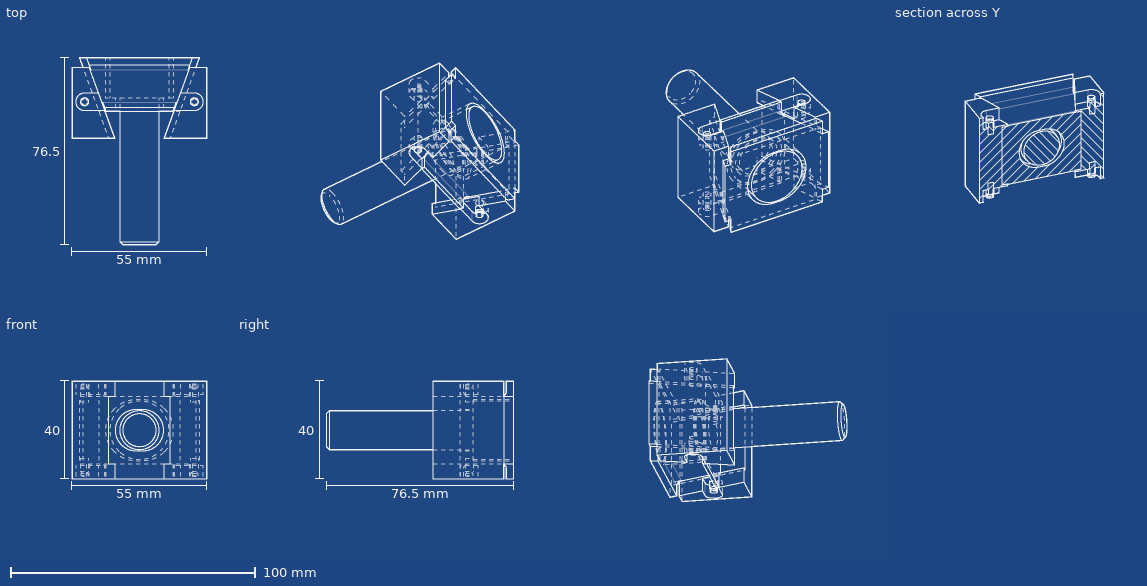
import cadquery as cq
import math

height = 40.0
overall_width = 55.0
overall_length = 76.5
taper = math.tan(math.radians(20))
SIDES = (-1, 1)

wedge_depth = 21.95
core_back_half_width = 21.65
core_gap = 0.4
tongue_height = 27.5
tongue_reach = 2.5
back_lip = 3.05
front_lip = 1.5
groove_fillet = 2.0

jaw_back_y = -4.0
jaw_depth = 29.0
pocket_radius = 3.6
pocket_depth = 5.5

pin_x = 22.4
pin_setback = 14.1
pin_y = jaw_back_y - pin_setback
pin_head_diameter = 3.0
pin_body_diameter = 3.3
pin_tip_drop = 1.1
dome_height = 0.4
head_land = 0.85
neck_height = 0.8
neck_depth = 0.4
pin_seat_depth = 3.0

shank_diameter = 16.0
shank_chamfer = 1.2
shank_length = 60.0
head_diameter = 24.0
bolt_slot_height = 17.0
bolt_slot_length = 19.65

half_height = height / 2
jaw_face_half_width = core_back_half_width + core_gap
tongue_half_width = jaw_face_half_width + tongue_reach
groove_depth = half_height - tongue_height / 2
bolt_head_height = overall_length - shank_length
slot_travel = bolt_slot_length - bolt_slot_height
head_recess_height = head_diameter + bolt_slot_height - shank_diameter


def tapered_block(back_half_width, depth, block_height):
    """Trapezoid block from Y = 0 to -depth, narrowing toward -Y and centred on Z."""
    front_half_width = back_half_width - depth * taper
    outline = [
        (-back_half_width, 0),
        (back_half_width, 0),
        (front_half_width, -depth),
        (-front_half_width, -depth),
    ]
    return (
        cq.Workplane("XY")
        .workplane(offset=-block_height / 2)
        .polyline(outline)
        .close()
        .extrude(block_height)
    )


def tongued_block(core_half_width, depth):
    """Full-height tapered core with a shorter, wider block forming the two tongues."""
    core = tapered_block(core_half_width, depth, height)
    return core.union(tapered_block(tongue_half_width, depth, tongue_height))


def bolt_slot(slot_height, depth):
    """Round-ended slot from the back face toward -Y, long enough for the bolt travel."""
    slot = cq.Workplane("XZ").slot2D(slot_height + slot_travel, slot_height)
    return slot.extrude(depth)


def make_groove(side):
    """Cross groove with rounded floor corners in the top (1) or bottom (-1) of the wedge."""
    length = wedge_depth - back_lip - front_lip
    center_y = -back_lip - length / 2
    groove = (
        cq.Workplane("XY")
        .box(overall_width, length, 2 * groove_depth)
        .edges("|X")
        .fillet(groove_fillet)
    )
    return groove.translate((0, center_y, side * half_height))


def make_wedge():
    wedge = tongued_block(core_back_half_width, wedge_depth)
    for side in SIDES:
        wedge = wedge.cut(make_groove(side))
    wedge = wedge.cut(bolt_slot(bolt_slot_height, wedge_depth))
    return wedge.cut(bolt_slot(head_recess_height, bolt_head_height))


def make_bolt():
    head = cq.Workplane("XZ").circle(head_diameter / 2).extrude(bolt_head_height)
    shank = cq.Workplane("XZ").circle(shank_diameter / 2).extrude(overall_length)
    shank = shank.faces("<Y").chamfer(shank_chamfer)
    return head.union(shank)


def make_pin(x_side, z_side):
    """Domed pin with a neck groove, standing in a jaw pocket."""
    head_radius = pin_head_diameter / 2
    body_radius = pin_body_diameter / 2
    tip = half_height - pin_tip_drop
    shoulder = tip - dome_height
    neck_top = shoulder - head_land
    neck_bottom = neck_top - neck_height
    seat = half_height - pocket_depth - pin_seat_depth
    dome_radius = (head_radius**2 + dome_height**2) / (2 * dome_height)
    dome_mid_x = head_radius / 2
    dome_mid_z = tip - dome_radius + math.sqrt(dome_radius**2 - dome_mid_x**2)
    neck_point = (head_radius - neck_depth, (neck_top + neck_bottom) / 2)
    pin = (
        cq.Workplane("XZ")
        .moveTo(0, seat)
        .lineTo(body_radius, seat)
        .lineTo(body_radius, neck_bottom)
        .threePointArc(neck_point, (head_radius, neck_top))
        .lineTo(head_radius, shoulder)
        .threePointArc((dome_mid_x, dome_mid_z), (0, tip))
        .close()
        .revolve(360, (0, 0), (0, 1))
    )
    if z_side < 0:
        pin = pin.mirror("XY")
    return pin.translate((x_side * pin_x, pin_y, 0))


def make_pocket(x_side, z_side):
    """Round-ended pocket, open toward the wedge, with the pin hole in its floor."""
    floor = half_height - pocket_depth
    round_end = cq.Workplane("XY").circle(pocket_radius).extrude(pocket_depth)
    channel = (
        cq.Workplane("XY")
        .box(pin_x, 2 * pocket_radius, pocket_depth, centered=(False, True, False))
        .translate((-pin_x, 0, 0))
    )
    hole = cq.Workplane("XY").circle(pin_body_diameter / 2).extrude(-pin_seat_depth)
    pocket = round_end.union(channel).union(hole).translate((pin_x, pin_y, floor))
    if z_side < 0:
        pocket = pocket.mirror("XY")
    if x_side < 0:
        pocket = pocket.mirror("YZ")
    return pocket


def make_jaw(x_side):
    half = overall_width / 2
    jaw = (
        cq.Workplane("XY")
        .box(half, jaw_depth, height)
        .translate((x_side * half / 2, jaw_back_y - jaw_depth / 2, 0))
        .cut(tongued_block(jaw_face_half_width, jaw_depth - jaw_back_y))
    )
    for z_side in SIDES:
        jaw = jaw.cut(make_pocket(x_side, z_side))
    return jaw


wedge = make_wedge()
bolt = make_bolt()
jaws = [make_jaw(x_side) for x_side in SIDES]
pins = [make_pin(x_side, z_side) for x_side in SIDES for z_side in SIDES]

bodies = [wedge, bolt, *jaws, *pins]
result = cq.Compound.makeCompound([body.solids().val() for body in bodies])